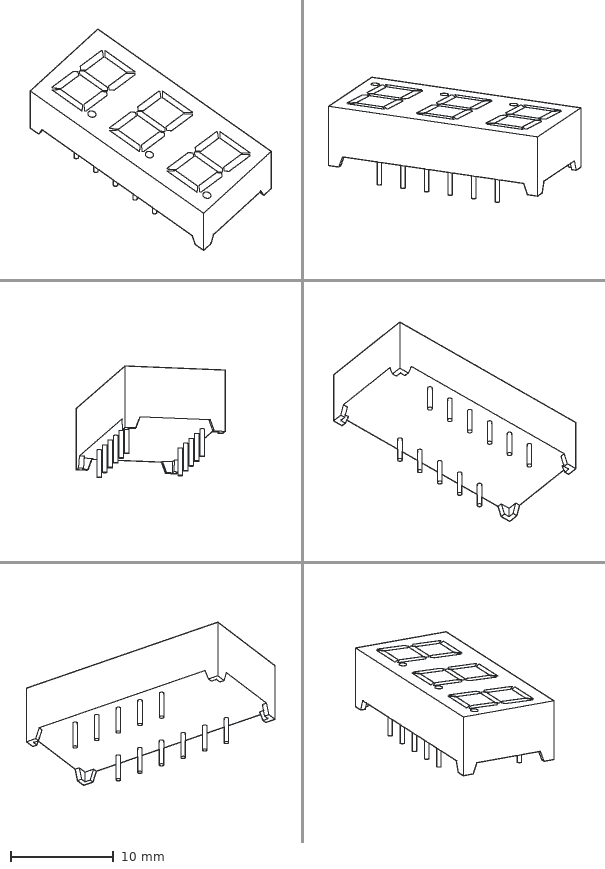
import cadquery as cq
import math

body_length = 22.5
body_width = 10.0
body_height = 5.0

foot_height = 1.1
foot_tip_width = 1.1
foot_root_width = 1.5
foot_wall = 0.5

pin_diameter = 0.45
pin_length = 2.7
pin_pitch = 2.54
pins_per_row = 6
pin_row_spacing = 7.53
missing_front_pin = pins_per_row - 1

digit_count = 3
digit_pitch = 7.46
digit_row_x = 0.05
digit_half_height = 3.5
digit_half_width = 2.2
digit_slant = math.tan(math.radians(6.0))
segment_thickness = 0.6
side_thickness = 0.73

mark_depth = 0.01

bar_end_half_width = 1.95
bar_inner_half_width = 1.4
side_tip_x = 2.1
side_tip_y = 3.31
side_shoulder_y = 3.25
side_inner_top_y = 2.78
side_bottom_y = 0.46
side_point_x = 1.86
side_point_y = 0.18
middle_point_x = 1.82
middle_shoulder_x = 1.5

dot_width = 0.83
dot_height = 0.72
dot_offset_x = 2.53
dot_offset_y = dot_height / 2 - digit_half_height


def make_body():
    """Block on four corner feet, left by two crossing tapered channels and a central recess."""
    total_height = body_height + foot_height
    block = cq.Workplane("XY").box(body_length, body_width, total_height, centered=(True, True, False))
    block = block.translate((0, 0, -foot_height))
    along_y = make_channel("XZ", body_length, body_width)
    along_x = make_channel("YZ", body_width, body_length)
    recess_length = body_length - 2 * foot_wall
    recess_width = body_width - 2 * foot_wall
    recess = cq.Workplane("XY").rect(recess_length, recess_width).extrude(-foot_height)
    return block.cut(along_y).cut(along_x).cut(recess)


def make_channel(plane, span, run):
    """Trapezoidal channel between the feet; span is across it, run is along it."""
    mouth = span / 2 - foot_tip_width
    root = span / 2 - foot_root_width
    outline = [(-mouth, -foot_height), (mouth, -foot_height), (root, 0), (-root, 0)]
    return cq.Workplane(plane).polyline(outline).close().extrude(run / 2, both=True)


def pin_positions():
    """Pin centres of both rows."""
    first_x = -pin_pitch * (pins_per_row - 1) / 2
    positions = []
    for index in range(pins_per_row):
        x = first_x + index * pin_pitch
        positions.append((x, pin_row_spacing / 2))
        if index != missing_front_pin:
            positions.append((x, -pin_row_spacing / 2))
    return positions


def make_pins():
    return cq.Workplane("XY").pushPoints(pin_positions()).circle(pin_diameter / 2).extrude(-pin_length)


def mirror_x(outline):
    return [(-x, y) for x, y in outline]


def mirror_y(outline):
    return [(x, -y) for x, y in outline]


def segment_outlines():
    """Upright outlines of the seven segments of one digit."""
    bar_inner_y = digit_half_height - segment_thickness
    side_inner_x = digit_half_width - side_thickness
    top = [
        (-bar_end_half_width, digit_half_height),
        (bar_end_half_width, digit_half_height),
        (bar_inner_half_width, bar_inner_y),
        (-bar_inner_half_width, bar_inner_y),
    ]
    upper_right = [
        (side_tip_x, side_tip_y),
        (digit_half_width, side_shoulder_y),
        (digit_half_width, side_bottom_y),
        (side_point_x, side_point_y),
        (side_inner_x, side_bottom_y),
        (side_inner_x, side_inner_top_y),
    ]
    middle = [
        (-middle_point_x, 0),
        (-middle_shoulder_x, segment_thickness / 2),
        (middle_shoulder_x, segment_thickness / 2),
        (middle_point_x, 0),
        (middle_shoulder_x, -segment_thickness / 2),
        (-middle_shoulder_x, -segment_thickness / 2),
    ]
    upper_left = mirror_x(upper_right)
    upper = [top, upper_left, upper_right]
    lower = [mirror_y(outline) for outline in upper]
    return upper + [middle] + lower


def make_digit(center_x):
    """Cutter for the segments and decimal point of one digit."""
    face = cq.Workplane("XY", origin=(center_x, 0, body_height))
    digit = face.center(dot_offset_x, dot_offset_y).ellipse(dot_width / 2, dot_height / 2).extrude(-mark_depth)
    for outline in segment_outlines():
        slanted = [(x + y * digit_slant, y) for x, y in outline]
        digit = digit.add(face.polyline(slanted).close().extrude(-mark_depth))
    return digit.combine()


result = make_body().union(make_pins())
for digit_index in range(digit_count):
    digit_x = digit_row_x + (digit_index - (digit_count - 1) / 2) * digit_pitch
    result = result.cut(make_digit(digit_x))